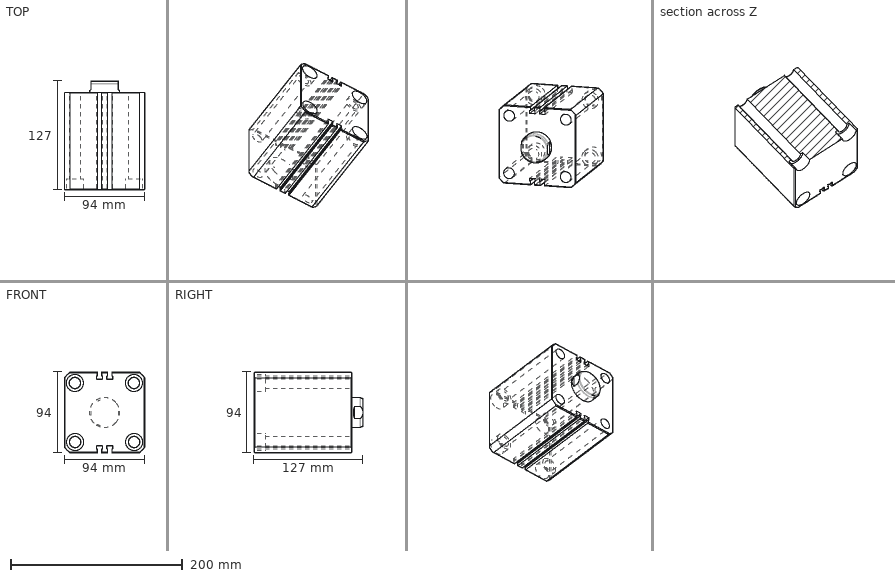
import cadquery as cq

total_length = 127.0
housing_width = 94.0
rod_reach = 13.1
housing_length = total_length - rod_reach

corner_circle_diameter = 124.0
edge_chamfer = 1.0

hole_pitch = 68.8
top_hole_shift = 0.3
hole_diameter = 13.0
counterbore_diameter = 20.0
counterbore_depth = 13.0

slot_pitch = 12.0
slot_mouth_width = 5.1
slot_base_width = 6.6
slot_depth = 8.0
slot_base_height = 3.3

rod_diameter = 35.0
rod_taper_length = 3.0
rod_taper_height = 1.5
rod_tip_rounding = 1.0
across_flats = 32.0
flat_start = 3.2


def front_plane():
    """Workplane on the front face; its normal is -Y, so negative extrusions run into the housing."""
    return cq.Workplane("XZ")


def t_slots():
    """The four T-slots, two open at the top and two open at the bottom."""
    half_width = housing_width / 2
    base_center = half_width - slot_depth + slot_base_height / 2
    mouth_center = half_width - slot_depth / 2
    slots = cq.Workplane()
    for side in (1, -1):
        for x in (-slot_pitch / 2, slot_pitch / 2):
            mouth = cq.Workplane("XY").box(
                slot_mouth_width, housing_length, slot_depth, centered=(True, False, True)
            )
            base = cq.Workplane("XY").box(
                slot_base_width, housing_length, slot_base_height, centered=(True, False, True)
            )
            slots = slots.add(mouth.translate((x, 0, side * mouth_center)))
            slots = slots.add(base.translate((x, 0, side * base_center)))
    return slots.combine()


def mounting_holes():
    """Four through holes with deep counterbores opening at the front face."""
    half_pitch = hole_pitch / 2
    holes = front_plane().pushPoints([
        (-half_pitch, -half_pitch),
        (half_pitch, -half_pitch),
        (-half_pitch - top_hole_shift, half_pitch),
        (half_pitch - top_hole_shift, half_pitch),
    ])
    through = holes.circle(hole_diameter / 2).extrude(-housing_length)
    counterbores = holes.circle(counterbore_diameter / 2).extrude(-counterbore_depth)
    return through.union(counterbores)


def make_housing():
    block = front_plane().rect(housing_width, housing_width).extrude(-housing_length)
    block = block.faces("<Y or >Y").chamfer(edge_chamfer)
    envelope = front_plane().circle(corner_circle_diameter / 2).extrude(-housing_length)
    return block.intersect(envelope).cut(t_slots()).cut(mounting_holes())


def make_rod():
    """Round rod standing on the rear face, with a tapered tip and two wrench flats."""
    radius = rod_diameter / 2
    tip_radius = radius - rod_taper_height
    taper_start = rod_reach - rod_taper_length
    rod = (
        cq.Workplane("XY")
        .moveTo(0, 0)
        .lineTo(radius, 0)
        .lineTo(radius, taper_start)
        .lineTo(tip_radius, rod_reach)
        .lineTo(0, rod_reach)
        .close()
        .revolve(360, (0, 0, 0), (0, 1, 0))
    )
    rod = rod.edges("%CIRCLE and (not <Y)").fillet(rod_tip_rounding)
    flat_depth = radius - across_flats / 2
    flat_cut = (
        cq.Workplane("XY")
        .moveTo(radius, flat_start - flat_depth)
        .lineTo(radius - flat_depth, flat_start)
        .lineTo(radius - flat_depth, rod_reach)
        .lineTo(radius, rod_reach)
        .close()
        .extrude(radius, both=True)
    )
    rod = rod.cut(flat_cut).cut(flat_cut.mirror("YZ"))
    return rod.translate((0, housing_length, 0))


housing = make_housing()
rod = make_rod()

result = cq.Compound.makeCompound([housing.val(), rod.val()])